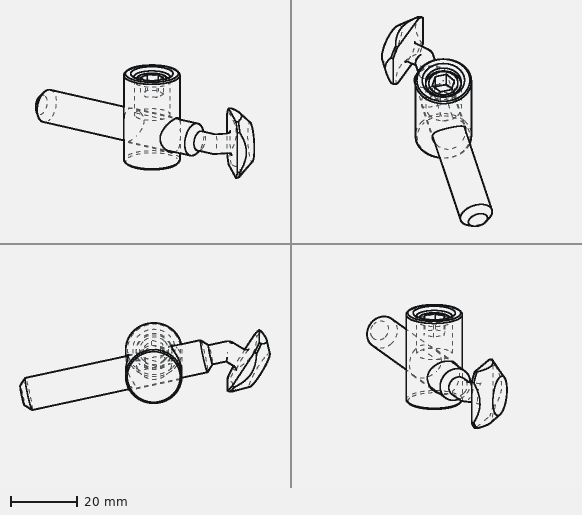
import cadquery as cq

rod_diameter = 10.0
rod_left_x = -40.75
rod_chamfer = 2.0
neck_start_x = 17.57
neck_diameter = rod_diameter - 2 * rod_chamfer
neck_length = 5.4
elbow_x = neck_start_x + neck_length
elbow_angle = 45.0
elbow_to_head = 5.5
neck_fillet = 1.5

head_blank_radius = 11.0
head_height = 5.75
head_rim_height = 0.75
head_top_radius = head_blank_radius - (head_height - head_rim_height)
head_width = 18.0

barrel_diameter = 17.0
barrel_bottom_z = -10.0
barrel_height = 28.0
barrel_top_z = barrel_bottom_z + barrel_height
barrel_chamfer = 0.5
cross_bore_diameter = 10.5

screw_diameter = 10.8
screw_recess = 1.4
screw_chamfer = 1.0
screw_bottom_z = rod_diameter / 2
screw_length = barrel_top_z - screw_recess - screw_bottom_z
socket_width = 6.0
socket_depth = 5.0
countersink = 1.0
hexagon_sides = 6


def make_barrel():
    barrel = (
        cq.Workplane("XY", origin=(0, 0, barrel_bottom_z))
        .circle(barrel_diameter / 2)
        .extrude(barrel_height)
        .faces("<Z or >Z")
        .chamfer(barrel_chamfer)
    )
    cross_bore = (
        cq.Workplane("YZ")
        .circle(cross_bore_diameter / 2)
        .extrude(barrel_diameter, both=True)
    )
    screw_hole = (
        cq.Workplane("XY", origin=(0, 0, screw_bottom_z))
        .circle(screw_diameter / 2)
        .extrude(barrel_top_z - screw_bottom_z)
    )
    mouth = cq.Workplane(
        cq.Solid.makeCone(
            screw_diameter / 2,
            screw_diameter / 2 + countersink,
            countersink,
            pnt=cq.Vector(0, 0, barrel_top_z - countersink),
        )
    )
    return barrel.cut(cross_bore).cut(screw_hole).cut(mouth)


def make_screw():
    screw = (
        cq.Workplane("XY", origin=(0, 0, screw_bottom_z))
        .circle(screw_diameter / 2)
        .extrude(screw_length)
        .faces(">Z")
        .chamfer(screw_chamfer)
    )
    socket = (
        cq.Workplane("XY", origin=(0, 0, screw_bottom_z + screw_length))
        .polygon(hexagon_sides, socket_width, circumscribed=True)
        .extrude(-socket_depth)
    )
    return screw.cut(socket)


def make_head_with_stem():
    """Head and angled neck about +X, with the elbow centre at the origin."""
    underside = elbow_to_head
    neck_radius = neck_diameter / 2
    blank = (
        cq.Workplane("XY")
        .moveTo(underside, 0)
        .lineTo(underside, head_blank_radius)
        .lineTo(underside + head_rim_height, head_blank_radius)
        .lineTo(underside + head_height, head_top_radius)
        .lineTo(underside + head_height, 0)
        .close()
        .revolve(360, (0, 0, 0), (1, 0, 0))
    )
    square = (
        cq.Workplane("YZ", origin=(underside, 0, 0))
        .rect(head_width, head_width)
        .extrude(head_height)
    )
    stem = (
        cq.Workplane("XY")
        .lineTo(0, neck_radius)
        .lineTo(underside - neck_fillet, neck_radius)
        .radiusArc((underside, neck_radius + neck_fillet), -neck_fillet)
        .lineTo(underside, 0)
        .close()
        .revolve(360, (0, 0, 0), (1, 0, 0))
    )
    return blank.intersect(square).union(stem)


def make_rod():
    bar = (
        cq.Workplane("YZ", origin=(rod_left_x, 0, 0))
        .circle(rod_diameter / 2)
        .extrude(neck_start_x - rod_left_x)
        .faces("<X or >X")
        .chamfer(rod_chamfer)
    )
    neck = (
        cq.Workplane("YZ", origin=(neck_start_x, 0, 0))
        .circle(neck_diameter / 2)
        .extrude(neck_length)
    )
    elbow = cq.Workplane("XY").sphere(neck_diameter / 2).translate((elbow_x, 0, 0))
    head = (
        make_head_with_stem()
        .rotate((0, 0, 0), (0, 0, 1), elbow_angle)
        .translate((elbow_x, 0, 0))
    )
    return bar.union(neck).union(elbow).union(head)


barrel = make_barrel()
screw = make_screw()
rod = make_rod()

result = cq.Compound.makeCompound([barrel.val(), screw.val(), rod.val()])